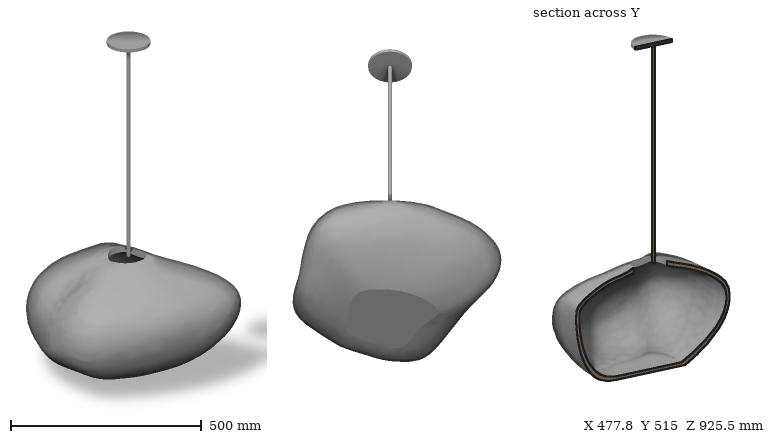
import cadquery as cq
import math


TOTAL_HEIGHT = 925.5
CANOPY_DIAMETER = 115.0
CANOPY_THICKNESS = 9.0
ROD_DIAMETER = 10.0
ROD_BOTTOM = 305.0

WALL = 11.0
FOOT_RATIO = 0.44
FOOT_SHIFT = -7.0
UPPER_BULGE = 2.3
LOWER_BULGE = 2.0

CROWN_HEIGHT = 308.0
CROWN_RADIUS = 37.0

MOUTH_RADIUS = 51.0
MOUTH_CENTRE = (-9.0, 3.0)
MOUTH_CHORD_DISTANCE = 39.0
MOUTH_CHORD_DIRECTION = 99.0

WIDEST_POINTS = [
    (236.0, 37.0, 167.0, 0.9),
    (222.0, 148.0, 167.0, 0.8),
    (192.0, 215.0, 168.0, 0.8),
    (135.0, 256.0, 157.0, 0.8),
    (73.0, 236.0, 130.0, 0.8),
    (4.0, 213.0, 106.0, 0.7),
    (-111.0, 193.0, 93.0, 0.6),
    (-209.0, 162.0, 128.0, 0.6),
    (-238.0, 102.0, 185.0, 0.45),
    (-238.0, 4.0, 204.0, 0.38),
    (-233.0, -98.0, 190.0, 0.45),
    (-211.0, -174.0, 148.0, 0.8),
    (-117.5, -224.0, 104.0, 0.75),
    (-47.0, -241.0, 88.0, 0.75),
    (55.5, -259.0, 127.0, 0.85),
    (130.0, -242.5, 133.0, 0.85),
    (194.0, -155.0, 148.0, 0.95),
    (229.0, -46.0, 162.0, 0.95),
]

LOWER_SECTIONS = 6
UPPER_SECTIONS = 5


def blend(start, end, share):
    """Point that lies the given share of the way from start to end."""
    return tuple(a + (b - a) * share for a, b in zip(start, end))


def crown_angle(x, y):
    """Direction of the plan point (x, y) as seen from the centre of the crown."""
    return math.atan2(y - MOUTH_CENTRE[1], x - MOUTH_CENTRE[0])


def crown_point(x, y):
    """Point of the crown's edge that faces the plan point (x, y)."""
    angle = crown_angle(x, y)
    return (
        MOUTH_CENTRE[0] + CROWN_RADIUS * math.cos(angle),
        MOUTH_CENTRE[1] + CROWN_RADIUS * math.sin(angle),
    )


def skin_point(widest_point, rise):
    """Point of the skin in one direction: rise is -1 at the foot, 0 at the widest point, 1 at the crown."""
    x, y, widest_level, undercut = widest_point
    if rise > 0:
        end = crown_point(x, y)
        level = widest_level + rise * (CROWN_HEIGHT - widest_level)
        share = 1 - rise**UPPER_BULGE
    else:
        end = (x * FOOT_RATIO + FOOT_SHIFT, y * FOOT_RATIO)
        level = widest_level + rise * widest_level
        share = (1 - abs(rise) ** LOWER_BULGE) ** undercut
    return (*blend(end, (x, y), share), level)


def spline_parameters():
    """Running angle of the directions, shared by all sections so that the loft does not twist."""
    angles = [crown_angle(x, y) for x, y, *_ in WIDEST_POINTS]
    turns = [(angle - angles[0]) % math.tau for angle in angles]
    return [*turns, math.tau]


def section_wire(rise, inset):
    """Closed smooth ring around the pebble, drawn in from the skin by the inset."""
    points = []
    for widest_point in WIDEST_POINTS:
        x, y, level = skin_point(widest_point, rise)
        keep = 1 - inset / math.hypot(x, y)
        height = inset + level * (CROWN_HEIGHT - 2 * inset) / CROWN_HEIGHT
        points.append(cq.Vector(x * keep, y * keep, height))
    outline = cq.Edge.makeSpline(points, periodic=True, parameters=spline_parameters())
    return cq.Wire.assembleEdges([outline])


def make_pebble(inset):
    """Solid lofted pebble; the inset shrinks it from the outer skin to the cavity."""
    lower = [math.sin(math.pi / 2 * (step / LOWER_SECTIONS - 1)) for step in range(LOWER_SECTIONS)]
    upper = [math.sin(math.pi / 2 * step / UPPER_SECTIONS) for step in range(UPPER_SECTIONS + 1)]
    sections = [section_wire(rise, inset) for rise in lower + upper]
    return cq.Workplane("XY").add(cq.Solid.makeLoft(sections))


def make_mouth():
    """Cutter for the flattened round mouth, reaching from above the crown into the cavity."""
    width = 2 * MOUTH_RADIUS
    depth = CROWN_HEIGHT
    kept_side = (
        cq.Workplane("XY")
        .box(width, width, depth)
        .translate((MOUTH_CHORD_DISTANCE - MOUTH_RADIUS, 0, 0))
        .rotate((0, 0, 0), (0, 0, 1), MOUTH_CHORD_DIRECTION)
    )
    disc = cq.Workplane("XY").cylinder(depth, MOUTH_RADIUS)
    return disc.intersect(kept_side).translate((*MOUTH_CENTRE, CROWN_HEIGHT))


def make_shade():
    """Thin-walled pebble with a closed underside and a mouth in its top."""
    cavity = make_pebble(WALL)
    return make_pebble(0).cut(cavity).cut(make_mouth())


def make_rod():
    """Straight rod from the centre of the mouth up to the canopy."""
    length = TOTAL_HEIGHT - CANOPY_THICKNESS - ROD_BOTTOM
    return cq.Workplane("XY").workplane(offset=ROD_BOTTOM).circle(ROD_DIAMETER / 2).extrude(length)


def make_canopy():
    """Flat ceiling disc at the top of the rod."""
    bottom = TOTAL_HEIGHT - CANOPY_THICKNESS
    return cq.Workplane("XY").workplane(offset=bottom).circle(CANOPY_DIAMETER / 2).extrude(CANOPY_THICKNESS)


shade = make_shade()
rod = make_rod()
canopy = make_canopy()

result = cq.Compound.makeCompound([shade.solids().val(), rod.val(), canopy.val()])